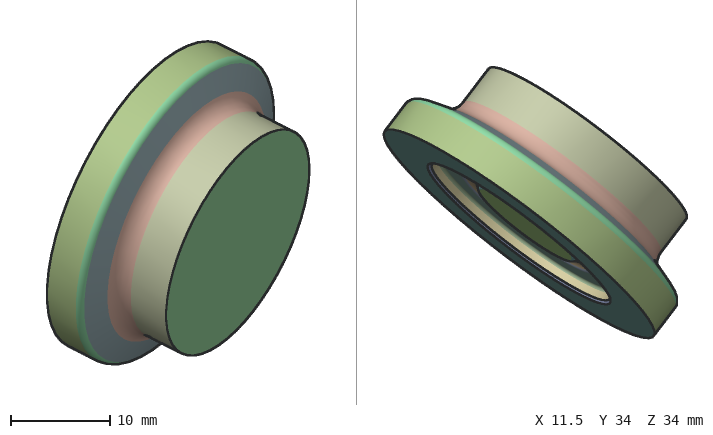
import cadquery as cq
import math

length = 11.5
flange_radius = 17.0
spigot_radius = 25.0 / 2
spigot_start = 7.17
rim_round = 0.75
root_round = 2.05
taper_angle = math.radians(20)

mouth_radius = 11.5
wall_radius = 22.4 / 2
mouth_chamfer = mouth_radius - wall_radius
recess_depth = 1.5
floor_round = 0.35

groove_outer_radius = 8.43
outer_edge_width = 0.4
outer_slope = math.radians(28)
disc_radius = 5.78
disc_edge_width = 0.35
disc_slope = math.radians(48)


def point_on_circle(centre, radius, angle):
    """Point at an angle measured from +X toward the radial direction."""
    return (centre[0] + radius * math.cos(angle), centre[1] + radius * math.sin(angle))


def revolve_about_x(profile):
    return profile.close().revolve(360, (0, 0, 0), (1, 0, 0))


def flange_body():
    """Flange and spigot joined by a taper that runs tangent into both rounds."""
    rim_centre_radius = flange_radius - rim_round
    root_centre = (spigot_start, spigot_radius + root_round)

    centre_rise = rim_centre_radius - root_centre[1]
    centre_gap = (rim_round + root_round + centre_rise * math.sin(taper_angle)) / math.cos(taper_angle)
    rim_width = spigot_start - centre_gap
    rim_centre = (rim_width, rim_centre_radius)

    rim_mid_angle = (taper_angle + math.pi / 2) / 2
    rim_mid = point_on_circle(rim_centre, rim_round, rim_mid_angle)
    taper_top = point_on_circle(rim_centre, rim_round, taper_angle)
    taper_foot = point_on_circle(root_centre, root_round, taper_angle + math.pi)
    root_mid = point_on_circle(root_centre, root_round, rim_mid_angle + math.pi)

    profile = (
        cq.Workplane("XY")
        .lineTo(0, flange_radius)
        .lineTo(rim_width, flange_radius)
        .threePointArc(rim_mid, taper_top)
        .lineTo(*taper_foot)
        .threePointArc(root_mid, (spigot_start, spigot_radius))
        .lineTo(length, spigot_radius)
        .lineTo(length, 0)
    )
    return revolve_about_x(profile)


def face_recess():
    """Volume removed from the flange face, with a chamfered mouth and a grooved floor."""
    arc_outer_radius = groove_outer_radius - outer_edge_width
    arc_inner_radius = disc_radius + disc_edge_width
    groove_round = (arc_outer_radius - arc_inner_radius) / (math.sin(outer_slope) + math.sin(disc_slope))
    arc_outer_depth = recess_depth + outer_edge_width * math.tan(outer_slope / 2)
    groove_centre = (
        arc_outer_depth - groove_round * math.cos(outer_slope),
        arc_outer_radius - groove_round * math.sin(outer_slope),
    )
    groove_bottom = point_on_circle(groove_centre, groove_round, 0)
    arc_inner_end = point_on_circle(groove_centre, groove_round, -disc_slope)
    disc_depth = arc_inner_end[0] - disc_edge_width * math.tan(disc_slope / 2)

    profile = (
        cq.Workplane("XY")
        .lineTo(0, mouth_radius)
        .lineTo(mouth_chamfer, wall_radius)
        .lineTo(recess_depth - floor_round, wall_radius)
        .tangentArcPoint((recess_depth, wall_radius - floor_round), relative=False)
        .lineTo(recess_depth, groove_outer_radius)
        .tangentArcPoint((arc_outer_depth, arc_outer_radius), relative=False)
        .threePointArc(groove_bottom, arc_inner_end)
        .tangentArcPoint((disc_depth, disc_radius), relative=False)
        .lineTo(disc_depth, 0)
    )
    return revolve_about_x(profile)


result = flange_body().cut(face_recess())